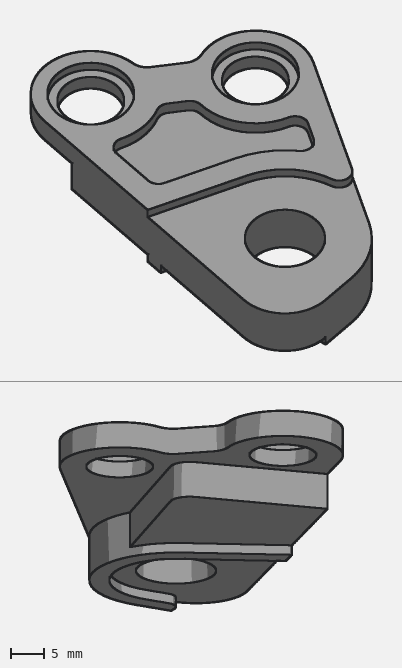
import cadquery as cq
import math

FOOT_HEIGHT = 1.5
PLATE_BOTTOM = 7.0
STEP_LEVEL = 9.5
PLATE_TOP = 11.0

EAR_SPACING = 25.0
UPPER_EAR_Y = 22.05
LOWER_EAR = cq.Vector(0, 0)
UPPER_EAR = cq.Vector(math.sqrt(EAR_SPACING**2 - UPPER_EAR_Y**2), UPPER_EAR_Y)
BORE = cq.Vector(40.65, 5.15)

EAR_HOLE_DIAMETER = 10.0
COUNTERBORE_DIAMETER = 13.0
COUNTERBORE_DEPTH = 1.5
BORE_DIAMETER = 12.0

EAR_RADIUS = 9.0
BOSS_RADIUS = 13.0
CORNER_RADIUS = 8.0
NECK_OFFSET = 4.0
NECK_FILLET = 3.0
FLANK_TILT = 12.0

STEP_TIP_RADIUS = 2.0
POCKET_WALL = 4.0
POCKET_DEPTH = 2.0
POCKET_FILLET = 2.0
BLOCK_LEFT = 6.66
BLOCK_BACK = 14.77
BLOCK_FILLET = 3.0
RIB_WIDTH = 3.0
RIB_END_RADIUS = 2.0

REACH = 100.0
SELECTION_MARGIN = 1.0


def direction(angle):
    """Unit vector at an angle in radians from +X."""
    return cq.Vector(math.cos(angle), math.sin(angle))


def left_of(vector):
    """The vector turned a quarter turn anticlockwise."""
    return cq.Vector(-vector.y, vector.x)


def angle_of(vector):
    return math.atan2(vector.y, vector.x)


def tangent_normal_angle(ear, side):
    """Angle of the outward normal of the line touching an ear and the boss on one side (+1 left)."""
    span = BORE - ear
    return angle_of(span) + side * math.acos((EAR_RADIUS - BOSS_RADIUS) / span.Length)


def crossing(normal_a, offset_a, normal_b, offset_b):
    """Point whose distances along two unit normals are the two offsets."""
    determinant = normal_a.x * normal_b.y - normal_a.y * normal_b.x
    x = (offset_a * normal_b.y - offset_b * normal_a.y) / determinant
    y = (normal_a.x * offset_b - normal_b.x * offset_a) / determinant
    return cq.Vector(x, y)


def arc_to(profile, center, radius, start_angle, end_angle):
    """Continue a profile along a circle from one angle to another."""
    middle = center + direction((start_angle + end_angle) / 2) * radius
    end = center + direction(end_angle) * radius
    return profile.threePointArc(middle.toTuple()[:2], end.toTuple()[:2])


def start_at(point, height):
    return cq.Workplane("XY", origin=(0, 0, height)).moveTo(point.x, point.y)


def line_to(profile, point):
    return profile.lineTo(point.x, point.y)


def cylinder(center, radius, bottom, top):
    return start_at(center, bottom).circle(radius).extrude(top - bottom)


FRONT_ANGLE = tangent_normal_angle(LOWER_EAR, -1)
BACK_ANGLE = tangent_normal_angle(UPPER_EAR, 1)
RIGHT_ANGLE = math.radians(FLANK_TILT)
LEFT_ANGLE = math.pi - RIGHT_ANGLE
FRONT = direction(FRONT_ANGLE)
BACK = direction(BACK_ANGLE)
RIGHT = direction(RIGHT_ANGLE)
LEFT = direction(LEFT_ANGLE)
LEFT_FLANK_DOWN = left_of(LEFT)

EAR_LINE = (UPPER_EAR - LOWER_EAR).normalized()
NECK = left_of(EAR_LINE)

CORNER = crossing(
    FRONT,
    FRONT.dot(BORE) + BOSS_RADIUS - CORNER_RADIUS,
    RIGHT,
    RIGHT.dot(BORE) + BOSS_RADIUS - CORNER_RADIUS,
)


def outline_prism(bottom, top):
    """Full outline of the part between two heights."""
    fillet_side = NECK_OFFSET + NECK_FILLET
    fillet_along = math.sqrt((EAR_RADIUS + NECK_FILLET) ** 2 - fillet_side**2)
    upper_fillet = UPPER_EAR - EAR_LINE * fillet_along + NECK * fillet_side
    lower_fillet = LOWER_EAR + EAR_LINE * fillet_along + NECK * fillet_side
    full_turn = 2 * math.pi
    upper_ear_end = angle_of(upper_fillet - UPPER_EAR) % full_turn
    lower_ear_start = angle_of(lower_fillet - LOWER_EAR)
    neck_inward = angle_of(-NECK)

    profile = start_at(LOWER_EAR + FRONT * EAR_RADIUS, bottom)
    profile = line_to(profile, CORNER + FRONT * CORNER_RADIUS)
    profile = arc_to(profile, CORNER, CORNER_RADIUS, FRONT_ANGLE, RIGHT_ANGLE)
    profile = line_to(profile, BORE + RIGHT * BOSS_RADIUS)
    profile = arc_to(profile, BORE, BOSS_RADIUS, RIGHT_ANGLE, BACK_ANGLE)
    profile = line_to(profile, UPPER_EAR + BACK * EAR_RADIUS)
    profile = arc_to(profile, UPPER_EAR, EAR_RADIUS, BACK_ANGLE, upper_ear_end)
    profile = arc_to(profile, upper_fillet, NECK_FILLET, upper_ear_end - math.pi, neck_inward)
    profile = line_to(profile, lower_fillet - NECK * NECK_FILLET)
    profile = arc_to(profile, lower_fillet, NECK_FILLET, neck_inward, lower_ear_start - math.pi)
    profile = arc_to(profile, LOWER_EAR, EAR_RADIUS, lower_ear_start, FRONT_ANGLE + full_turn)
    return profile.close().extrude(top - bottom)


def step_cut():
    """Space above the lowered boss face, leaving a rounded tip where the step meets the back edge."""
    tip_angle = BACK_ANGLE + math.acos((BOSS_RADIUS - STEP_TIP_RADIUS) / (BOSS_RADIUS + STEP_TIP_RADIUS))
    tip = BORE + direction(tip_angle) * (BOSS_RADIUS + STEP_TIP_RADIUS)
    flank_top = BORE + LEFT * BOSS_RADIUS

    profile = start_at(flank_top + LEFT_FLANK_DOWN * REACH, STEP_LEVEL)
    profile = line_to(profile, flank_top)
    profile = arc_to(profile, BORE, BOSS_RADIUS, LEFT_ANGLE, tip_angle)
    profile = arc_to(profile, tip, STEP_TIP_RADIUS, tip_angle - math.pi, BACK_ANGLE)
    profile = line_to(profile, tip + BACK * REACH)
    profile = profile.lineTo(REACH, REACH).lineTo(REACH, -REACH)
    return profile.close().extrude(PLATE_TOP - STEP_LEVEL)


def pocket():
    """Shallow pocket keeping an even wall to the edges, the step and the counterbores."""
    floor = PLATE_TOP - POCKET_DEPTH
    edge_inset = EAR_RADIUS - POCKET_WALL
    step_radius = BOSS_RADIUS + POCKET_WALL
    ear_radius = COUNTERBORE_DIAMETER / 2 + POCKET_WALL
    step_end_angle = BACK_ANGLE + math.acos((BOSS_RADIUS - POCKET_WALL) / step_radius)
    flank_top = BORE + LEFT * step_radius
    front_offset = FRONT.dot(LOWER_EAR) + edge_inset
    back_offset = BACK.dot(UPPER_EAR) + edge_inset

    profile = start_at(crossing(NECK, -NECK_OFFSET, FRONT, front_offset), floor)
    profile = line_to(profile, crossing(LEFT, LEFT.dot(flank_top), FRONT, front_offset))
    profile = line_to(profile, flank_top)
    profile = arc_to(profile, BORE, step_radius, LEFT_ANGLE, step_end_angle)
    profile = line_to(profile, crossing(NECK, -NECK_OFFSET, BACK, back_offset))
    shape = profile.close().extrude(POCKET_DEPTH)
    for ear in (LOWER_EAR, UPPER_EAR):
        shape = shape.cut(cylinder(ear, ear_radius, floor, PLATE_TOP))

    smooth_joint = cq.selectors.BoxSelector(
        (flank_top.x - SELECTION_MARGIN, flank_top.y - SELECTION_MARGIN, floor),
        (flank_top.x + SELECTION_MARGIN, flank_top.y + SELECTION_MARGIN, PLATE_TOP),
    )
    corners = cq.selectors.ParallelDirSelector(cq.Vector(0, 0, 1)) - smooth_joint
    return shape.edges(corners).fillet(POCKET_FILLET)


def lower_block():
    """Thick portion under the plate: a block with one rounded corner, joined to the round boss."""
    height = PLATE_BOTTOM - FOOT_HEIGHT
    block = (
        cq.Workplane("XY", origin=(BLOCK_LEFT, BLOCK_BACK, FOOT_HEIGHT))
        .rect(REACH, -REACH, centered=False)
        .extrude(height)
        .edges("|Z and <X and >Y")
        .fillet(BLOCK_FILLET)
    )
    boss = cylinder(BORE, BOSS_RADIUS, FOOT_HEIGHT, PLATE_BOTTOM)
    return block.union(boss).intersect(outline_prism(FOOT_HEIGHT, PLATE_BOTTOM))


def foot_rib():
    """Rib under the boss, running up the left flank, around the bore and down the right flank."""
    inner_radius = BOSS_RADIUS - RIB_WIDTH
    outer_left = BORE + LEFT * BOSS_RADIUS
    inner_left = BORE + LEFT * inner_radius
    outer_end = CORNER + RIGHT * CORNER_RADIUS
    end_center = outer_end - RIGHT * (RIB_WIDTH - RIB_END_RADIUS) + left_of(RIGHT) * RIB_END_RADIUS
    end_angle = RIGHT_ANGLE - math.pi / 2

    profile = start_at(outer_left + LEFT_FLANK_DOWN * REACH, 0)
    profile = line_to(profile, outer_left)
    profile = arc_to(profile, BORE, BOSS_RADIUS, LEFT_ANGLE, RIGHT_ANGLE)
    profile = line_to(profile, outer_end)
    profile = line_to(profile, end_center + direction(end_angle) * RIB_END_RADIUS)
    profile = arc_to(profile, end_center, RIB_END_RADIUS, end_angle, end_angle - math.pi / 2)
    profile = line_to(profile, BORE + RIGHT * inner_radius)
    profile = arc_to(profile, BORE, inner_radius, RIGHT_ANGLE, LEFT_ANGLE)
    profile = line_to(profile, inner_left + LEFT_FLANK_DOWN * REACH)
    return profile.close().extrude(FOOT_HEIGHT).intersect(outline_prism(0, FOOT_HEIGHT))


def drill_holes(body):
    """Main bore and the two counterbored ear holes."""
    body = body.cut(cylinder(BORE, BORE_DIAMETER / 2, 0, PLATE_TOP))
    for ear in (LOWER_EAR, UPPER_EAR):
        body = body.cut(cylinder(ear, EAR_HOLE_DIAMETER / 2, PLATE_BOTTOM, PLATE_TOP))
        body = body.cut(cylinder(ear, COUNTERBORE_DIAMETER / 2, PLATE_TOP - COUNTERBORE_DEPTH, PLATE_TOP))
    return body


plate = outline_prism(PLATE_BOTTOM, PLATE_TOP).cut(step_cut()).cut(pocket())
result = drill_holes(plate.union(lower_block()).union(foot_rib()).clean())